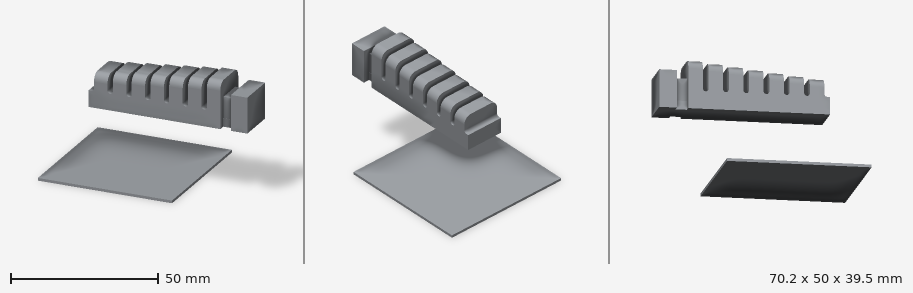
import cadquery as cq

PLATE_SIDE = 50.0
PLATE_THICKNESS = 1.0

OVERALL_LENGTH = 70.2
OVERALL_HEIGHT = 39.5

TOOTH_COUNT = 7
TOOTHED_LENGTH = 49.0
TOOTH_PITCH = TOOTHED_LENGTH / TOOTH_COUNT
SLOT_WIDTH = 2.0
TOOTH_WIDTH = TOOTH_PITCH - SLOT_WIDTH
TOOTH_ROUND = 3.0
TALLEST_TOOTH = 17.1
SHORTEST_TOOTH = 12.6
TOOTH_RISE = (TALLEST_TOOTH - SHORTEST_TOOTH) / (TOOTH_COUNT - 1)
SLOT_FLOOR = 6.2
SLOT_FLAT = 0.015
SLOT_ROUND = (SLOT_WIDTH - SLOT_FLAT) / 2
RACK_WIDTH = 14.95

NECK_LENGTH = 3.9
NECK_WIDTH = 9.9
NECK_HEIGHT = 10.95
NECK_FOOT_WIDTH = 10.2
NECK_FOOT_HEIGHT = 3.1
HEAD_LENGTH = 6.1
HEAD_HEIGHT = 13.2

RACK_LENGTH = TOOTHED_LENGTH + NECK_LENGTH + HEAD_LENGTH
RACK_START = OVERALL_LENGTH - RACK_LENGTH
RACK_BOTTOM = OVERALL_HEIGHT - TALLEST_TOOTH


def rack_block(start, length, width, height):
    """Box on the rack's bottom plane, centred in Y; start is measured from the rack's -X end."""
    return (
        cq.Workplane("XY", origin=(RACK_START + start, 0, RACK_BOTTOM))
        .box(length, width, height, centered=(False, True, False))
    )


def tooth(index):
    """Rounded tooth standing on the bottom plane; the teeth get taller towards +X."""
    height = SHORTEST_TOOTH + index * TOOTH_RISE
    start = SLOT_WIDTH + index * TOOTH_PITCH
    return rack_block(start, TOOTH_WIDTH, RACK_WIDTH, height).edges("|X and >Z").fillet(TOOTH_ROUND)


def root_fillet(corner, side):
    """Concave fillet between the slot floor and a tooth flank; side -1 lies towards -X, +1 towards +X."""
    return (
        cq.Workplane("XZ", origin=(RACK_START + corner, RACK_WIDTH / 2, RACK_BOTTOM + SLOT_FLOOR))
        .lineTo(side * SLOT_ROUND, 0)
        .radiusArc((0, SLOT_ROUND), side * SLOT_ROUND)
        .close()
        .extrude(RACK_WIDTH)
    )


def make_plate():
    return (
        cq.Workplane("XY")
        .box(PLATE_SIDE, PLATE_SIDE, PLATE_THICKNESS, centered=(False, True, False))
    )


def make_rack():
    rack = rack_block(0, TOOTHED_LENGTH, RACK_WIDTH, SLOT_FLOOR)

    for index in range(TOOTH_COUNT):
        flank = SLOT_WIDTH + index * TOOTH_PITCH
        rack = rack.union(tooth(index)).union(root_fillet(flank, -1))
        if index < TOOTH_COUNT - 1:
            rack = rack.union(root_fillet(flank + TOOTH_WIDTH, 1))

    head_start = TOOTHED_LENGTH + NECK_LENGTH
    neck = rack_block(TOOTHED_LENGTH, NECK_LENGTH, NECK_WIDTH, NECK_HEIGHT)
    neck_foot = rack_block(TOOTHED_LENGTH, NECK_LENGTH, NECK_FOOT_WIDTH, NECK_FOOT_HEIGHT)
    head = rack_block(head_start, HEAD_LENGTH, RACK_WIDTH, HEAD_HEIGHT)
    return rack.union(neck).union(neck_foot).union(head)


plate = make_plate()
rack = make_rack()
result = cq.Compound.makeCompound([plate.val(), rack.val()])